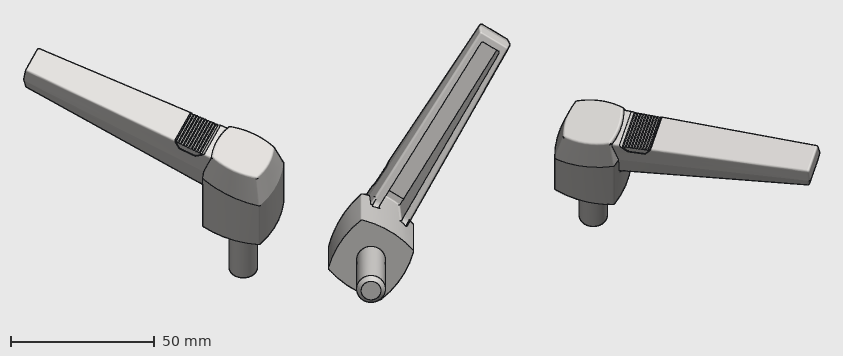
import cadquery as cq
import math


stud_diameter = 10.0
stud_length = 30.0
stud_chamfer = 1.6

barrel_half = 12.51
barrel_corner = 10.8
crown_half_x = 9.8
crown_half_y = 9.2
crown_corner_x = 8.5
crown_corner_y = 7.6
crown_height = 33.1
crown_angle = 11.7
hub_corner_radius = 0.7
crown_edge_radius = 0.8

overall_length = 93
arm_tip_x = barrel_half - overall_length
arm_end_x = -5.6
tip_lean = 0.6
tip_parting_z = 41.4
tip_top_z = 46.3
tip_bottom_z = 37.1
parting_angle = 12.8
top_angle = 10.0
bottom_angle = 16.0
tip_half_width = 6.3
tip_edge_half_width = 5.7
end_half_width = 8.1
end_top_half_width = 7.7
end_bottom_half_width = 7.7
arm_edge_radius = 0.7
root_radius = 3.3
root_half_width = 7.0
root_x = -11.6

roof_thickness = 3.1
tip_wall = 2.4
channel_tip_mouth = 3.7
channel_tip_roof = 3.6
channel_end_mouth = 5.2
channel_end_roof = 3.9
channel_corner_radius = 0.7
channel_end_radius = 0.6

grip_start_x = -22.9
grip_end_x = -11.6
grip_depth = 2.8
grip_run_in = 1.9
grip_run_out = 3.3
grip_recess = 0.3
rib_pitch = 1.0
rib_height = 0.4
rib_count = 10

tolerance = 0.01

edge_tip_x = arm_tip_x + tip_lean


def slope(angle):
    return math.tan(math.radians(angle))


def parting_z(x):
    return tip_parting_z - (x - arm_tip_x) * slope(parting_angle)


def top_z(x):
    return tip_top_z - (x - edge_tip_x) * slope(top_angle)


def bottom_z(x):
    return tip_bottom_z - (x - edge_tip_x) * slope(bottom_angle)


def crown_z(x):
    return crown_height - x * slope(crown_angle)


def bulged_square(half_x, half_y, corner_x, corner_y, height):
    """Closed wire of four arcs with rounded corners, lying on the plane z = height(x)."""
    outline = [
        (corner_x, corner_y), (0, half_y), (-corner_x, corner_y), (-half_x, 0),
        (-corner_x, -corner_y), (0, -half_y), (corner_x, -corner_y), (half_x, 0),
    ]
    points = [cq.Vector(x, y, height(x)) for x, y in outline]
    points.append(points[0])
    arcs = [cq.Edge.makeThreePointArc(*points[i:i + 3]) for i in range(0, 8, 2)]
    wire = cq.Wire.assembleEdges(arcs)
    return wire.fillet2D(hub_corner_radius, wire.Vertices())


def loft(*wires):
    return cq.Workplane(cq.Solid.makeLoft(list(wires), True))


def trapezoid(lower, upper):
    """Wire across Y through (x, z, half width) at its lower and upper edges."""
    x0, z0, w0 = lower
    x1, z1, w1 = upper
    return cq.Wire.makePolygon(
        [cq.Vector(*p) for p in [(x0, -w0, z0), (x0, w0, z0), (x1, w1, z1), (x1, -w1, z1)]],
        close=True,
    )


def make_barrel(height):
    base = bulged_square(barrel_half, barrel_half, barrel_corner, barrel_corner, lambda x: 0)
    return cq.Workplane(cq.Solid.extrudeLinear(base, [], cq.Vector(0, 0, height)))


def make_hub():
    """Straight barrel up to the parting plane, then a crown narrowing to the tilted top."""
    reach = 2 * barrel_half
    below_parting = (
        cq.Workplane("XZ")
        .polyline([(-reach, 0), (reach, 0), (reach, parting_z(reach)), (-reach, parting_z(-reach))])
        .close()
        .extrude(reach, both=True)
    )
    skirt = make_barrel(crown_height).intersect(below_parting)
    parting_wire = skirt.faces(">Z").val().outerWire()
    crown_wire = bulged_square(
        crown_half_x, crown_half_y, crown_corner_x, crown_corner_y, crown_z
    )
    crown = loft(parting_wire, crown_wire)
    return skirt.union(crown).faces(">Z").edges().fillet(crown_edge_radius)


def upper_half(inset=0):
    """Arm above the parting plane, with flanks and top moved inward by the inset."""
    return loft(
        trapezoid(
            (arm_tip_x, tip_parting_z, tip_half_width - inset),
            (edge_tip_x, tip_top_z - inset, tip_edge_half_width - inset),
        ),
        trapezoid(
            (arm_end_x, parting_z(arm_end_x), end_half_width - inset),
            (arm_end_x, top_z(arm_end_x) - inset, end_top_half_width - inset),
        ),
    )


def lower_half():
    return loft(
        trapezoid(
            (edge_tip_x, tip_bottom_z, tip_edge_half_width),
            (arm_tip_x, tip_parting_z, tip_half_width),
        ),
        trapezoid(
            (arm_end_x, bottom_z(arm_end_x), end_bottom_half_width),
            (arm_end_x, parting_z(arm_end_x), end_half_width),
        ),
    )


def is_outer_arm_edge(edge):
    """True for every edge except those at the hub end and those on the parting plane."""
    ends = [edge.startPoint(), edge.endPoint()]
    on_parting = all(abs(p.z - parting_z(p.x)) < tolerance for p in ends)
    at_hub_end = all(abs(p.x - arm_end_x) < tolerance for p in ends)
    return not on_parting and not at_hub_end


def make_root():
    """Concave web under the arm, curving from its underside down into the hub wall."""
    corner = cq.Vector(root_x, 0, bottom_z(root_x))
    along_arm = cq.Vector(-1, 0, slope(bottom_angle)).normalized()
    down = cq.Vector(0, 0, -1)
    half_opening = math.radians(90 + bottom_angle) / 2
    reach = root_radius / math.tan(half_opening)
    bisector = (along_arm + down).normalized()
    start = corner + along_arm * reach
    middle = corner + bisector * (root_radius / math.sin(half_opening) - root_radius)
    end = corner + down * reach
    outline = [(p.x, p.z) for p in (start, middle, end)]
    return (
        cq.Workplane("XZ")
        .moveTo(*outline[0])
        .threePointArc(outline[1], outline[2])
        .lineTo(arm_end_x, end.z)
        .lineTo(arm_end_x, start.z)
        .close()
        .extrude(root_half_width, both=True)
    )


def make_arm():
    body = upper_half().union(lower_half())
    return body.edges().filter(is_outer_arm_edge).fillet(arm_edge_radius).union(make_root())


def is_channel_end_edge(edge):
    """True where the channel's roof and sides meet the hub wall."""
    center = edge.Center()
    on_wall = -barrel_half - tolerance < center.x < -barrel_corner
    return on_wall and center.z > bottom_z(center.x)


def make_channel():
    """Cavity open below, closed at the arm tip and bounded by the hub wall."""
    start_x = edge_tip_x + tip_wall
    below = 2 * root_radius

    def section(x, mouth, roof):
        return trapezoid(
            (x, bottom_z(x) - below, mouth), (x, top_z(x) - roof_thickness, roof)
        )

    cavity = loft(
        section(start_x, channel_tip_mouth, channel_tip_roof),
        section(arm_end_x, channel_end_mouth, channel_end_roof),
    )
    cavity = cavity.faces("<X").edges("not #Z").fillet(channel_corner_radius)
    cavity = cavity.cut(make_barrel(crown_height))
    return cavity.edges().filter(is_channel_end_edge).fillet(channel_end_radius)


def grip_prism(crest):
    """Solid across the arm with a trapezoid side profile closed by the crest points."""
    left = grip_start_x + grip_run_in
    right = grip_end_x - grip_run_out
    floor = [(right, top_z(right) - grip_depth), (left, top_z(left) - grip_depth)]
    return cq.Workplane("XZ").polyline(crest + floor).close().extrude(barrel_half, both=True)


def make_grip_pocket():
    crest = [(x, top_z(x) + grip_depth) for x in (grip_start_x, grip_end_x)]
    crest = [(grip_start_x, top_z(grip_start_x))] + crest + [(grip_end_x, top_z(grip_end_x))]
    return grip_prism(crest)


def make_grip():
    """Recessed pad whose top carries a row of V-shaped ribs."""
    crest = []
    for i in range(rib_count + 1):
        x = grip_start_x + rib_pitch * i
        crest.append((x, top_z(x) - grip_recess - rib_height))
        if i < rib_count:
            middle = x + rib_pitch / 2
            crest.append((middle, top_z(middle) - grip_recess))
    return grip_prism(crest).intersect(upper_half(grip_recess))


def make_stud():
    stud = cq.Workplane("XY").circle(stud_diameter / 2).extrude(-stud_length)
    return stud.faces("<Z").chamfer(stud_chamfer)


arm = make_arm().cut(make_channel())
arm = arm.cut(make_grip_pocket()).union(make_grip())
result = make_hub().union(arm).union(make_stud())